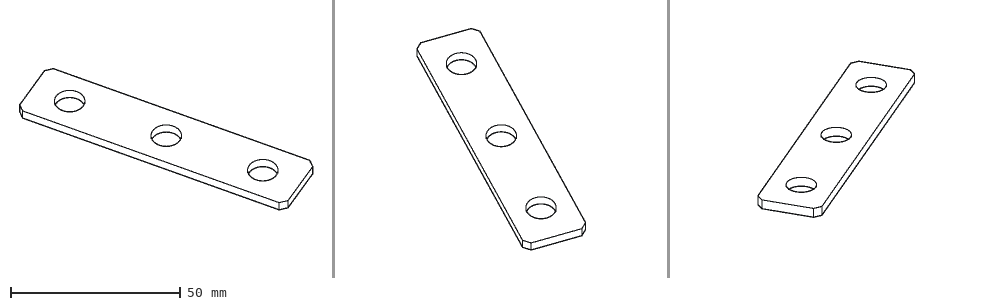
import cadquery as cq

length = 89.0
width = 20.0
thickness = 3.0
corner_chamfer = 2.0

hole_diameter = 9.0
hole_spacing = 32.0
hole_count = 3

strip = (
    cq.Workplane("XY")
    .box(length, width, thickness)
    .edges("|Z")
    .chamfer(corner_chamfer)
)

result = (
    strip.faces(">Z")
    .workplane()
    .rarray(hole_spacing, width, hole_count, 1)
    .hole(hole_diameter)
)